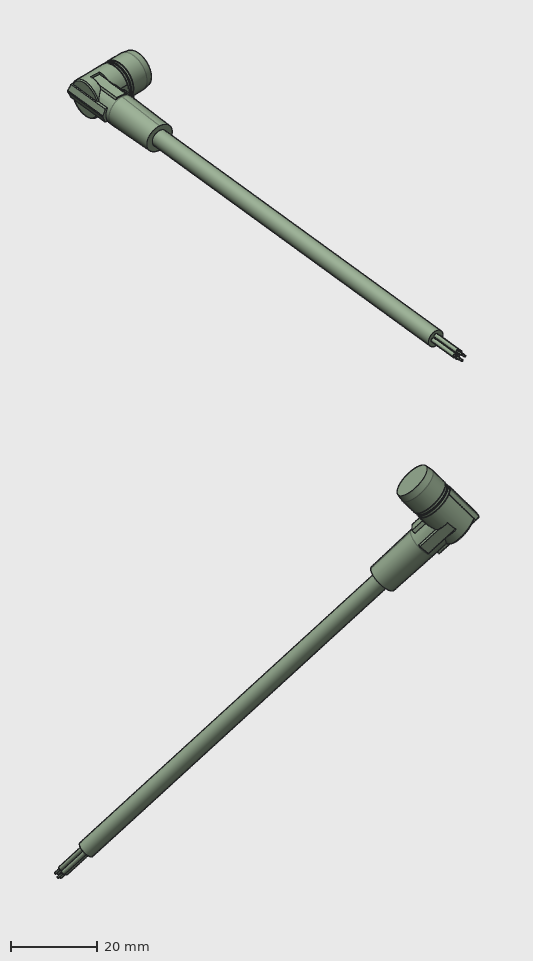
import cadquery as cq
import math

LEAN = 5.0

HEAD_RADIUS = 4.97
HEAD_TOP = 5.55
NECK_RADIUS = 4.75
RING_RADIUS = 4.9
RING_START = 6.2
RING_END = 6.5
NUT_RADIUS = 5.0
NUT_START = 7.15
NUT_NOSE_START = 11.45
NUT_NOSE_RADIUS = 4.7
NUT_END = 13.24
HEAD_BOTTOM_Y = -3.8
HEAD_BOTTOM_CHAMFER = 0.3
LONG = 30.0

RIB_HALF_WIDTH = 1.9
HEAD_RIB_EAVES = 4.67
HEAD_RIB_RIDGE = 5.12
LOWER_RIB_EAVES = 4.2
LOWER_RIB_RIDGE = 4.85
RIDGE_HALF_WIDTH = 0.2
LOWER_RIB_END_X = 8.1

SIDE_RIB_TOP = 4.3
UPPER_RIB_TOP = 4.5
FLAT_RIB_SHOULDER = 3.6
FLAT_RIB_HALF_WIDTH = 1.35
FLAT_RIB_BASE_HALF_WIDTH = 1.7
SIDE_FLAT_START_X = -0.6
SIDE_RIB_END_X = 8.85
UPPER_RIB_END_X = 8.1

SLEEVE_MID_X = 9.2
SLEEVE_END_X = 22.8
SLEEVE_MID_SIZE = (3.95, 4.1)
SLEEVE_END_SIZE = (3.85, 3.55)

CABLE_RADIUS = 2.2
CABLE_END_X = 123.1
CORE_COUNT = 4
CORE_OFFSET = 0.85
CORE_RADIUS = 0.55
CORE_END_X = 131.0
STRAND_RADIUS = 0.25
STRAND_END_X = 132.68


def lean(shape):
    """Turn a shape built along +Y onto the leaning head axis."""
    return shape.rotate((0, 0, 0), (0, 0, 1), LEAN)


def roof(side, eaves, ridge):
    """Closed roof-shaped section; side is +1 or -1 for the ridge direction."""
    return [
        (0, -RIB_HALF_WIDTH),
        (side * eaves, -RIB_HALF_WIDTH),
        (side * ridge, -RIDGE_HALF_WIDTH),
        (side * ridge, RIDGE_HALF_WIDTH),
        (side * eaves, RIB_HALF_WIDTH),
        (0, RIB_HALF_WIDTH),
    ]


def rod(radius, start_x, end_x, y=0.0, z=0.0):
    """Round bar parallel to X."""
    section = cq.Workplane("YZ", origin=(start_x, y, z)).circle(radius)
    return section.extrude(end_x - start_x)


def head_rib(side):
    """Rib along the head on its +X or -X side, running past the underside."""
    outline = roof(side, HEAD_RIB_EAVES, HEAD_RIB_RIDGE)
    section = cq.Workplane("XZ", origin=(0, HEAD_TOP, 0)).polyline(outline).close()
    return lean(section.extrude(HEAD_TOP + LONG / 2))


def above(y):
    """Block filling the space above a height y."""
    return cq.Workplane("XY").box(LONG, LONG, LONG).translate((0, y + LONG / 2, 0))


def make_head():
    """Moulded head with its two ribs, cut off flat at the underside."""
    barrel = cq.Workplane("XZ", origin=(0, HEAD_TOP, 0)).circle(HEAD_RADIUS)
    body = lean(barrel.extrude(HEAD_TOP + LONG / 2)).intersect(above(HEAD_BOTTOM_Y))
    body = body.faces("<Y").chamfer(HEAD_BOTTOM_CHAMFER)
    for side in (-1, 1):
        body = body.union(head_rib(side).intersect(above(HEAD_BOTTOM_Y)))
    return body


def make_nut():
    """Neck, ring and coupling nut as one turned profile."""
    profile = [
        (0, HEAD_TOP),
        (NECK_RADIUS, HEAD_TOP),
        (NECK_RADIUS, RING_START),
        (RING_RADIUS, RING_START),
        (RING_RADIUS, RING_END),
        (NECK_RADIUS, RING_END),
        (NECK_RADIUS, NUT_START),
        (NUT_RADIUS, NUT_START),
        (NUT_RADIUS, NUT_NOSE_START),
        (NUT_NOSE_RADIUS, NUT_END),
        (0, NUT_END),
    ]
    turned = cq.Workplane("XY").polyline(profile).close()
    return lean(turned.revolve(360, (0, 0, 0), (0, 1, 0)))


def make_sleeve():
    """Straight grip from the head, then a gentle taper along the cable."""
    grip = cq.Workplane("YZ").ellipse(*SLEEVE_MID_SIZE).extrude(SLEEVE_MID_X)
    taper = (
        cq.Workplane("YZ", origin=(SLEEVE_MID_X, 0, 0))
        .ellipse(*SLEEVE_MID_SIZE)
        .workplane(offset=SLEEVE_END_X - SLEEVE_MID_X)
        .ellipse(*SLEEVE_END_SIZE)
        .loft(ruled=True)
    )
    return grip.union(taper)


def lower_rib_bar(end_x):
    """Roof-section bar on the -Y side, from X = 0 to end_x."""
    outline = roof(-1, LOWER_RIB_EAVES, LOWER_RIB_RIDGE)
    return cq.Workplane("YZ").polyline(outline).close().extrude(end_x)


def make_lower_rib():
    """Roof rib on the -Y side; its free end follows the -X head rib."""
    corner = lower_rib_bar(-LONG / 2).intersect(head_rib(-1))
    return lower_rib_bar(LOWER_RIB_END_X).union(corner)


def flat_rib(end_x, top):
    """Flat-topped rib on the +Z side of the grip."""
    outline = [
        (-FLAT_RIB_BASE_HALF_WIDTH, 0),
        (-FLAT_RIB_BASE_HALF_WIDTH, FLAT_RIB_SHOULDER),
        (-FLAT_RIB_HALF_WIDTH, top),
        (FLAT_RIB_HALF_WIDTH, top),
        (FLAT_RIB_BASE_HALF_WIDTH, FLAT_RIB_SHOULDER),
        (FLAT_RIB_BASE_HALF_WIDTH, 0),
    ]
    return cq.Workplane("YZ").polyline(outline).close().extrude(end_x)


def make_flat_ribs():
    """Flat-topped ribs on the +Y, +Z and -Z sides of the grip."""
    side_rib = flat_rib(SIDE_RIB_END_X, SIDE_RIB_TOP)
    upper_rib = flat_rib(UPPER_RIB_END_X, UPPER_RIB_TOP).rotate((0, 0, 0), (1, 0, 0), -90)
    return upper_rib.union(side_rib).union(side_rib.mirror("XY"))


def side_rib_flats():
    """Slots that carry the flat rib tops on into the round head."""
    plane = cq.Workplane("XY", origin=(SIDE_FLAT_START_X, 0, SIDE_RIB_TOP))
    slot = plane.rect(LONG, 2 * FLAT_RIB_HALF_WIDTH).extrude(LONG)
    slot = slot.translate((LONG / 2, 0, 0))
    return slot.union(slot.mirror("XY"))


def make_cable():
    """Cable jacket with insulated cores and bare strands at its free end."""
    cable = rod(CABLE_RADIUS, 0, CABLE_END_X)
    for index in range(CORE_COUNT):
        angle = 2 * math.pi * index / CORE_COUNT
        y = CORE_OFFSET * math.cos(angle)
        z = CORE_OFFSET * math.sin(angle)
        cable = cable.union(rod(CORE_RADIUS, CABLE_END_X, CORE_END_X, y, z))
        cable = cable.union(rod(STRAND_RADIUS, CORE_END_X, STRAND_END_X, y, z))
    return cable


pieces = [make_nut(), make_sleeve(), make_lower_rib(), make_flat_ribs(), make_cable()]
result = make_head().cut(side_rib_flats())
for piece in pieces:
    result = result.union(piece)